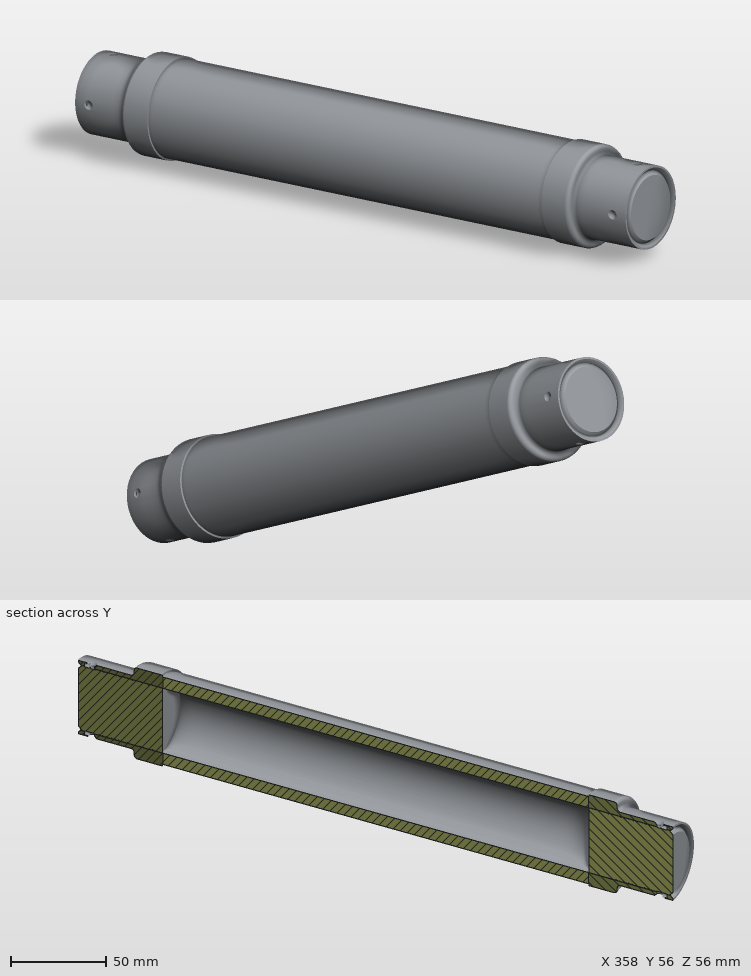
import cadquery as cq

length = 358.0
tube_radius = 27.0
collar_radius = 28.0
neck_radius = 22.5
plug_radius = 19.7

shoulder_x = 33.5
cap_length = 51.0

root_fillet = 1.8
rim_fillet = 2.0

mouth_chamfer = 1.8
plug_chamfer = 2.0

groove_start = 4.0
groove_end = 7.0
groove_radius = 22.0

hole_count = 4
hole_x = 8.5
hole_radius = 1.0
countersink_radius = 2.7
countersink_depth = countersink_radius - hole_radius
cutter_overlap = 0.5

axis_start = (0, 0, 0)
axis_end = (1, 0, 0)


def make_cap_body():
    """Neck and collar in one revolved ring, with the inner groove and the mouth chamfer."""
    return (
        cq.Workplane("XY")
        .moveTo(0, plug_radius + mouth_chamfer)
        .lineTo(0, neck_radius)
        .lineTo(shoulder_x - root_fillet, neck_radius)
        .radiusArc((shoulder_x, neck_radius + root_fillet), -root_fillet)
        .lineTo(shoulder_x, collar_radius - rim_fillet)
        .radiusArc((shoulder_x + rim_fillet, collar_radius), rim_fillet)
        .lineTo(cap_length, collar_radius)
        .lineTo(cap_length, plug_radius)
        .lineTo(groove_end, plug_radius)
        .lineTo(groove_end, groove_radius)
        .lineTo(groove_start, groove_radius)
        .lineTo(groove_start, plug_radius)
        .lineTo(mouth_chamfer, plug_radius)
        .close()
        .revolve(360, axis_start, axis_end)
    )


def make_hole_cutter():
    """Countersunk hole along Z, from inside the bore to just above the neck surface."""
    bottom = plug_radius - cutter_overlap
    top = neck_radius + cutter_overlap
    return (
        cq.Workplane("XZ")
        .moveTo(0, bottom)
        .lineTo(hole_radius, bottom)
        .lineTo(hole_radius, neck_radius - countersink_depth)
        .lineTo(countersink_radius, neck_radius)
        .lineTo(countersink_radius, top)
        .lineTo(0, top)
        .close()
        .revolve(360, (0, 0, 0), (0, 1, 0))
        .translate((hole_x, 0, 0))
    )


def make_cap():
    """End cap at X = 0, with its cross holes evenly spaced around the neck."""
    cap = make_cap_body()
    cutter = make_hole_cutter()
    for index in range(hole_count):
        cap = cap.cut(cutter.rotate(axis_start, axis_end, index * 360 / hole_count))
    return cap


def make_plug():
    """Round plug that fills the bore of the cap at X = 0, chamfered at its outer end."""
    return (
        cq.Workplane("YZ")
        .circle(plug_radius)
        .extrude(cap_length)
        .faces("<X")
        .chamfer(plug_chamfer)
    )


def make_tube():
    """Tube between the two caps, with the same bore as the caps."""
    return (
        cq.Workplane("YZ", origin=(cap_length, 0, 0))
        .circle(tube_radius)
        .circle(plug_radius)
        .extrude(length - 2 * cap_length)
    )


def at_both_ends(body):
    """The body at X = 0 and its mirror image at the other end."""
    return [body.val(), body.mirror("YZ", (length / 2, 0, 0)).val()]


tube = make_tube()
caps = at_both_ends(make_cap())
plugs = at_both_ends(make_plug())

result = cq.Compound.makeCompound([tube.val(), *caps, *plugs])